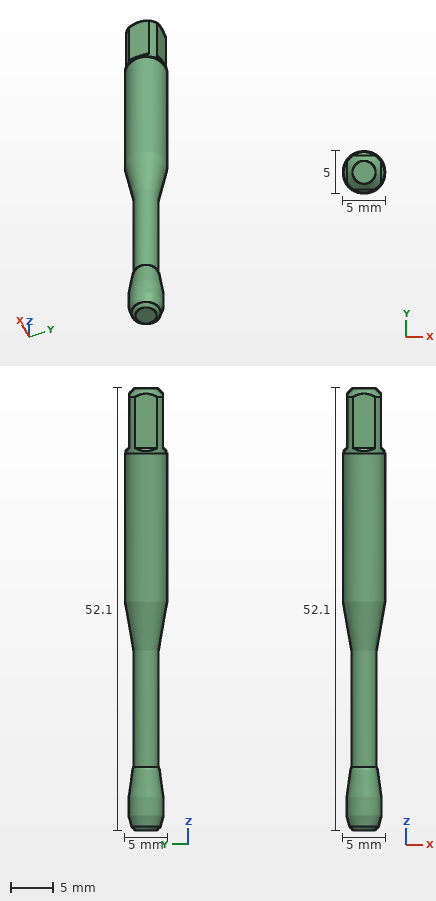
import cadquery as cq

LENGTH = 52.1

HEAD_DIA = 4.1
HEAD_SHOULDER_DIA = 3.25
HEAD_NOSE_DIA = 3.45
HEAD_TIP_DIA = 2.5
HEAD_NOSE_Z = 0.45
HEAD_BAND_BOTTOM_Z = 1.7
HEAD_BAND_TOP_Z = 3.9
HEAD_SHOULDER_Z = 7.15
HEAD_TOP_Z = 7.5

NECK_DIA = 2.95
BODY_DIA = 5.0
TAPER_BOTTOM_Z = 21.15
TAPER_TOP_Z = 26.95
BODY_TOP_Z = 44.4

DRIVE_DIA = 4.8
ACROSS_FLATS = 4.0
FLAT_BOTTOM_Z = 45.05
TOP_CHAMFER = 1.05
FLAT_COUNT = 4


def revolve_profile(points):
    """Revolve (radius, z) points about the Z axis."""
    return cq.Workplane("XZ").polyline(points).close().revolve(360, (0, 0, 0), (0, 1, 0))


def make_head():
    """Bullet-shaped head that butts against the end of the neck."""
    return revolve_profile([
        (0, 0),
        (HEAD_TIP_DIA / 2, 0),
        (HEAD_NOSE_DIA / 2, HEAD_NOSE_Z),
        (HEAD_DIA / 2, HEAD_BAND_BOTTOM_Z),
        (HEAD_DIA / 2, HEAD_BAND_TOP_Z),
        (HEAD_SHOULDER_DIA / 2, HEAD_SHOULDER_Z),
        (NECK_DIA / 2, HEAD_TOP_Z),
        (0, HEAD_TOP_Z),
    ])


def make_flat_cutter():
    """Material outside the +X flat, with a floor that slopes down and outward at 45 degrees."""
    inner = ACROSS_FLATS / 2
    outer = BODY_DIA / 2
    ramp_end_z = FLAT_BOTTOM_Z - (outer - inner)
    return (
        cq.Workplane("XZ")
        .polyline([(inner, FLAT_BOTTOM_Z), (outer, ramp_end_z), (outer, LENGTH), (inner, LENGTH)])
        .close()
        .extrude(BODY_DIA / 2, both=True)
    )


def make_shank():
    """Neck, taper and cylindrical body, ending in the drive square."""
    shank = revolve_profile([
        (0, HEAD_TOP_Z),
        (NECK_DIA / 2, HEAD_TOP_Z),
        (NECK_DIA / 2, TAPER_BOTTOM_Z),
        (BODY_DIA / 2, TAPER_TOP_Z),
        (BODY_DIA / 2, BODY_TOP_Z),
        (DRIVE_DIA / 2, BODY_TOP_Z),
        (DRIVE_DIA / 2, LENGTH - TOP_CHAMFER),
        (DRIVE_DIA / 2 - TOP_CHAMFER, LENGTH),
        (0, LENGTH),
    ])
    cutter = make_flat_cutter()
    for index in range(FLAT_COUNT):
        angle = index * 360 / FLAT_COUNT
        shank = shank.cut(cutter.rotate((0, 0, 0), (0, 0, 1), angle))
    return shank


head = make_head()
shank = make_shank()

result = cq.Compound.makeCompound([head.val(), shank.val()])